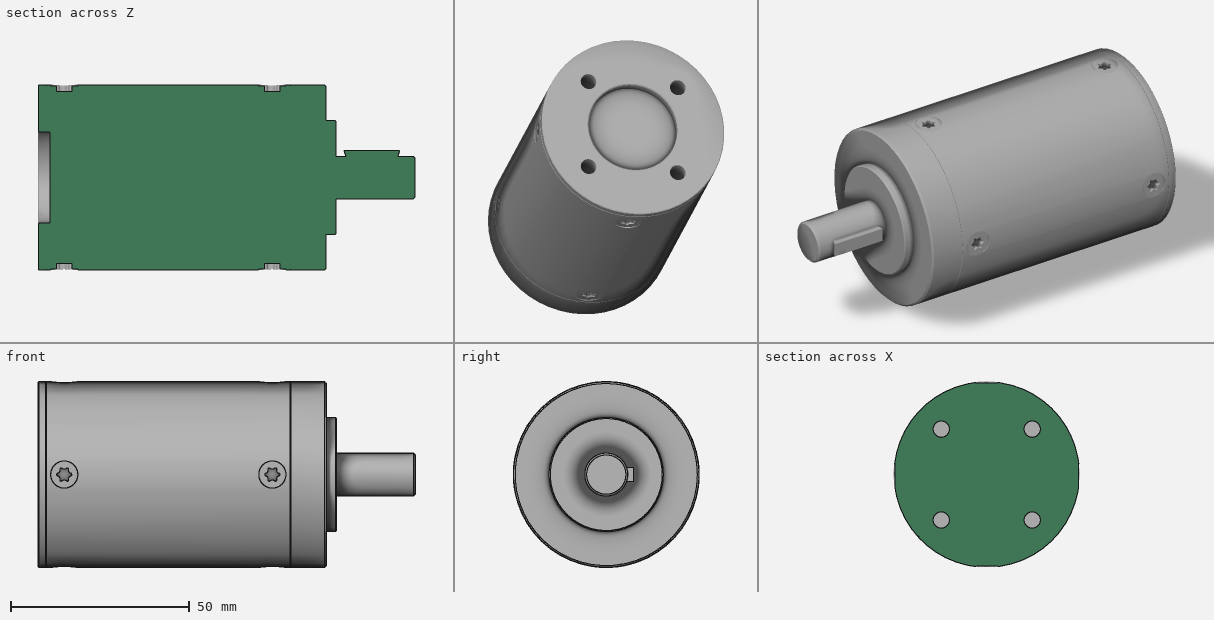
import cadquery as cq
import math

TOTAL_LENGTH = 105.5
BODY_DIAMETER = 52.0
BODY_LENGTH = 80.6
REAR_JOINT_X = 2.2
FRONT_JOINT_X = 70.6
JOINT_WIDTH = 0.3
JOINT_DEPTH = 0.2
REAR_EDGE_CHAMFER = 0.2
FRONT_EDGE_CHAMFER = 0.5

BOSS_DIAMETER = 32.0
BOSS_END_X = 83.5
BOSS_CHAMFER = 0.3
SHAFT_DIAMETER = 12.0
SHAFT_CHAMFER = 0.5

KEY_DISC_DIAMETER = 16.0
KEY_LENGTH = 15.7
KEY_WIDTH = 4.0
KEY_PROJECTION = 1.6
KEY_CENTER_X = 93.4

RECESS_DIAMETER = 25.3
RECESS_DEPTH = 3.2
RECESS_CHAMFER = 0.3
MOUNT_HOLE_DIAMETER = 4.4
MOUNT_HOLE_DEPTH = 10.0
MOUNT_CIRCLE_DIAMETER = 36.0
MOUNT_HOLE_COUNT = 4
MOUNT_HOLE_START_ANGLE = 45

SCREW_DISTANCE_FROM_JOINT = 5.1
SCREW_HEAD_DIAMETER = 7.6
SCREWS_PER_ROW = 4
SOCKET_TIP_DIAMETER = 4.2
SOCKET_ROOT_DIAMETER = 3.1
SOCKET_DEPTH = 1.6
SOCKET_LOBES = 6
LOBE_HALF_ANGLE = 12

BODY_RADIUS = BODY_DIAMETER / 2
SHAFT_RADIUS = SHAFT_DIAMETER / 2
SCREW_HEAD_RECESS = BODY_RADIUS - math.sqrt(BODY_RADIUS**2 - (SCREW_HEAD_DIAMETER / 2) ** 2)
SCREW_FACE_RADIUS = BODY_RADIUS - SCREW_HEAD_RECESS


def cylinder(x_start, x_end, diameter):
    """Solid cylinder on the X axis."""
    return cq.Workplane("YZ", origin=(x_start, 0, 0)).circle(diameter / 2).extrude(x_end - x_start)


def joint_groove(center_x):
    """V-shaped ring marking the joint between two housing parts."""
    half_width = JOINT_WIDTH / 2
    outline = [
        (center_x - half_width, BODY_RADIUS),
        (center_x + half_width, BODY_RADIUS),
        (center_x, BODY_RADIUS - JOINT_DEPTH),
    ]
    return cq.Workplane("XY").polyline(outline).close().revolve(360, (0, 0, 0), (1, 0, 0))


def make_housing():
    """Round housing with its chamfers and the two joint grooves."""
    housing = cylinder(0, BODY_LENGTH, BODY_DIAMETER)
    housing = housing.faces("<X").chamfer(REAR_EDGE_CHAMFER)
    housing = housing.faces(">X").chamfer(FRONT_EDGE_CHAMFER)
    for joint_x in (REAR_JOINT_X, FRONT_JOINT_X):
        housing = housing.cut(joint_groove(joint_x))
    return housing


def make_output_end():
    """Centring boss followed by the shaft."""
    boss = cylinder(BODY_LENGTH, BOSS_END_X, BOSS_DIAMETER).faces(">X").chamfer(BOSS_CHAMFER)
    shaft = cylinder(BODY_LENGTH, TOTAL_LENGTH, SHAFT_DIAMETER).faces(">X").chamfer(SHAFT_CHAMFER)
    return boss.union(shaft)


def make_key():
    """Woodruff key: a disc segment with its flat edge facing +Y."""
    disc_radius = KEY_DISC_DIAMETER / 2
    half_length = KEY_LENGTH / 2
    flat_y = SHAFT_RADIUS + KEY_PROJECTION
    disc_center_y = flat_y + math.sqrt(disc_radius**2 - half_length**2)
    return (
        cq.Workplane("XY", origin=(KEY_CENTER_X, 0, -KEY_WIDTH / 2))
        .moveTo(-half_length, flat_y)
        .threePointArc((0, disc_center_y - disc_radius), (half_length, flat_y))
        .close()
        .extrude(KEY_WIDTH)
    )


def cut_rear_face(part):
    """Chamfered centring recess and the four blind mounting holes."""
    recess_radius = RECESS_DIAMETER / 2
    recess_profile = [
        (0, 0),
        (0, recess_radius + RECESS_CHAMFER),
        (RECESS_CHAMFER, recess_radius),
        (RECESS_DEPTH, recess_radius),
        (RECESS_DEPTH, 0),
    ]
    recess = cq.Workplane("XY").polyline(recess_profile).close().revolve(360, (0, 0, 0), (1, 0, 0))
    holes = (
        cq.Workplane("YZ")
        .polarArray(MOUNT_CIRCLE_DIAMETER / 2, MOUNT_HOLE_START_ANGLE, 360, MOUNT_HOLE_COUNT)
        .circle(MOUNT_HOLE_DIAMETER / 2)
        .extrude(MOUNT_HOLE_DEPTH)
    )
    return part.cut(recess).cut(holes)


def socket_point(radius, angle):
    """Point at the given radius and angle in degrees from the socket centre."""
    radians = math.radians(angle)
    return (radius * math.cos(radians), radius * math.sin(radians))


def socket_profile(plane):
    """Closed six-lobed outline of convex tips and concave roots, with one lobe along the X axis."""
    tip_radius = SOCKET_TIP_DIAMETER / 2
    root_radius = SOCKET_ROOT_DIAMETER / 2
    flank_radius = (tip_radius + root_radius) / 2
    pitch = 360 / SOCKET_LOBES
    outline = plane.moveTo(*socket_point(flank_radius, -LOBE_HALF_ANGLE))
    for lobe in range(SOCKET_LOBES):
        tip_angle = lobe * pitch
        lobe_end = socket_point(flank_radius, tip_angle + LOBE_HALF_ANGLE)
        next_lobe_start = socket_point(flank_radius, tip_angle + pitch - LOBE_HALF_ANGLE)
        outline = outline.threePointArc(socket_point(tip_radius, tip_angle), lobe_end)
        outline = outline.threePointArc(socket_point(root_radius, tip_angle + pitch / 2), next_lobe_start)
    return outline.close()


def screw_cut(center_x):
    """Material removed above one screw head and inside its socket, on the +Z side."""
    head = (
        cq.Workplane("XY", origin=(center_x, 0, SCREW_FACE_RADIUS))
        .circle(SCREW_HEAD_DIAMETER / 2)
        .extrude(BODY_RADIUS)
    )
    socket_floor = cq.Workplane("XY", origin=(center_x, 0, SCREW_FACE_RADIUS - SOCKET_DEPTH))
    socket = socket_profile(socket_floor).extrude(BODY_RADIUS)
    return head.union(socket)


def cut_screws(part):
    """Both rows of screws around the housing."""
    rear_row_x = REAR_JOINT_X + SCREW_DISTANCE_FROM_JOINT
    front_row_x = FRONT_JOINT_X - SCREW_DISTANCE_FROM_JOINT
    for center_x in (rear_row_x, front_row_x):
        for index in range(SCREWS_PER_ROW):
            angle = index * 360 / SCREWS_PER_ROW
            part = part.cut(screw_cut(center_x).rotate((0, 0, 0), (1, 0, 0), angle))
    return part


result = make_housing().union(make_output_end()).union(make_key())
result = cut_rear_face(result)
result = cut_screws(result)